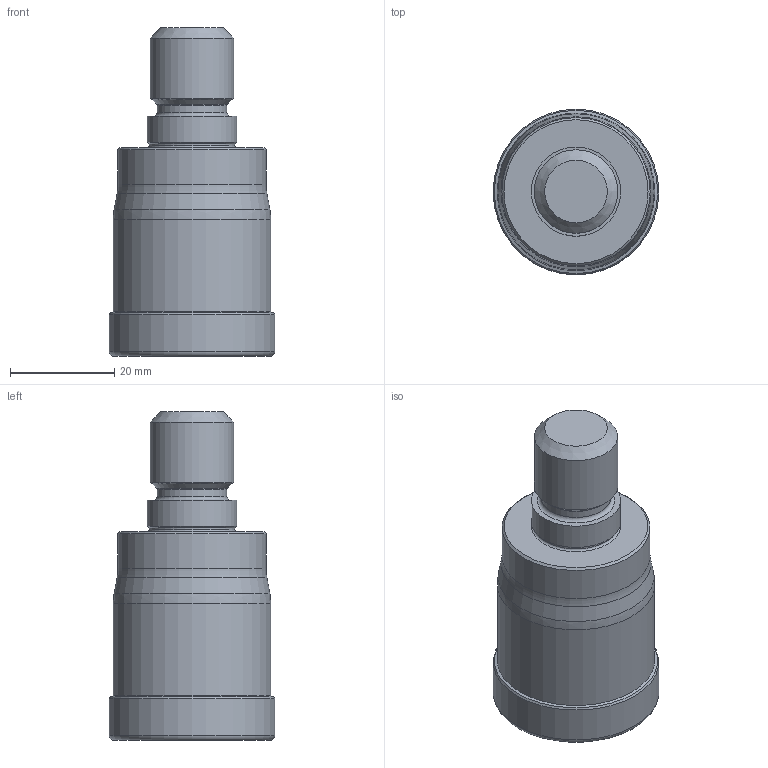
import cadquery as cq
import math

CAP_WALL_TOP = 8.0
SHOULDER_TOP = 33.0
BODY_TOP = 40.0
COLLAR_BOTTOM = 41.0
COLLAR_TOP = 46.0
THREAD_BOTTOM = 49.4
TOTAL_HEIGHT = 63.0

BARREL_RADIUS = 15.1
BARREL_TOP_RADIUS = 14.2
BARREL_TOP_CHAMFER = 0.4
SHOULDER_BLEND_RADIUS = 10.0
SHOULDER_ANGLE = math.radians(10.5)

CAP_RADIUS = 31.75 / 2
CAP_BOTTOM_FILLET = 1.0
CAP_CHAMFER_HEIGHT = 0.4
CAP_CHAMFER_WIDTH = CAP_CHAMFER_HEIGHT / math.tan(math.radians(60))
CAP_CONE_RADIUS = CAP_RADIUS - CAP_CHAMFER_WIDTH
CAP_CONE_BOTTOM = CAP_WALL_TOP + CAP_CHAMFER_HEIGHT
CAP_CONE_SLOPE = math.radians(15)
CAP_TOP = CAP_CONE_BOTTOM + (CAP_CONE_RADIUS - BARREL_RADIUS) * math.tan(CAP_CONE_SLOPE)

BREAK_DEPTH = 0.4
BREAK_HEIGHT = BREAK_DEPTH * math.tan(math.radians(30))
COLLAR_RADIUS = 8.55
NECK_RADIUS = COLLAR_RADIUS - BREAK_DEPTH
NECK_FILLET = 0.4
THREAD_RADIUS = 8.0
THREAD_CHAMFER = 2.0

RELIEF_RADIUS = 6.7
RELIEF_LOWER_FILLET = 0.75
RELIEF_UPPER_FILLET = 0.25
RELIEF_CONE_ANGLE = math.radians(45)


def revolve(profile):
    """Close a half profile on the Z axis and turn it into a solid."""
    return profile.close().revolve(360, (0, 0, 0), (0, 1, 0))


def quarter_arc_offset(radius):
    """Distance from the sides of a right corner to the middle of its fillet."""
    return radius * (1 - math.cos(math.pi / 4))


def arc_rise(radius, angle):
    """Radial and axial travel of an arc that leaves the axial direction by an angle."""
    return radius * (1 - math.cos(angle)), radius * math.sin(angle)


def make_cap():
    bottom_offset = quarter_arc_offset(CAP_BOTTOM_FILLET)
    profile = (
        cq.Workplane("XZ")
        .moveTo(0, 0)
        .lineTo(CAP_RADIUS - CAP_BOTTOM_FILLET, 0)
        .threePointArc(
            (CAP_RADIUS - bottom_offset, bottom_offset),
            (CAP_RADIUS, CAP_BOTTOM_FILLET),
        )
        .lineTo(CAP_RADIUS, CAP_WALL_TOP)
        .lineTo(CAP_CONE_RADIUS, CAP_CONE_BOTTOM)
        .lineTo(BARREL_RADIUS, CAP_TOP)
        .lineTo(0, CAP_TOP)
    )
    return revolve(profile)


def add_barrel(profile):
    """Barrel side up to its top face, with an S-shaped shoulder of two arcs and a cone."""
    arc_width, arc_height = arc_rise(SHOULDER_BLEND_RADIUS, SHOULDER_ANGLE)
    mid_width, mid_height = arc_rise(SHOULDER_BLEND_RADIUS, SHOULDER_ANGLE / 2)
    cone_width = BARREL_RADIUS - BARREL_TOP_RADIUS - 2 * arc_width
    cone_height = cone_width / math.tan(SHOULDER_ANGLE)
    shoulder_bottom = SHOULDER_TOP - cone_height - 2 * arc_height
    return (
        profile.lineTo(BARREL_RADIUS, CAP_TOP)
        .lineTo(BARREL_RADIUS, shoulder_bottom)
        .threePointArc(
            (BARREL_RADIUS - mid_width, shoulder_bottom + mid_height),
            (BARREL_RADIUS - arc_width, shoulder_bottom + arc_height),
        )
        .lineTo(BARREL_TOP_RADIUS + arc_width, SHOULDER_TOP - arc_height)
        .threePointArc(
            (BARREL_TOP_RADIUS + mid_width, SHOULDER_TOP - mid_height),
            (BARREL_TOP_RADIUS, SHOULDER_TOP),
        )
        .lineTo(BARREL_TOP_RADIUS, BODY_TOP - BARREL_TOP_CHAMFER)
        .lineTo(BARREL_TOP_RADIUS - BARREL_TOP_CHAMFER, BODY_TOP)
    )


def add_collar(profile):
    """Short filleted neck, then the wider collar above it."""
    fillet_offset = quarter_arc_offset(NECK_FILLET)
    return (
        profile.lineTo(NECK_RADIUS + NECK_FILLET, BODY_TOP)
        .threePointArc(
            (NECK_RADIUS + fillet_offset, BODY_TOP + fillet_offset),
            (NECK_RADIUS, BODY_TOP + NECK_FILLET),
        )
        .lineTo(NECK_RADIUS, COLLAR_BOTTOM - BREAK_HEIGHT)
        .lineTo(COLLAR_RADIUS, COLLAR_BOTTOM)
        .lineTo(COLLAR_RADIUS, COLLAR_TOP)
    )


def add_thread_relief(profile):
    """Groove between the collar and the thread."""
    lower_offset = quarter_arc_offset(RELIEF_LOWER_FILLET)
    arc_width, arc_height = arc_rise(RELIEF_UPPER_FILLET, RELIEF_CONE_ANGLE)
    mid_width, mid_height = arc_rise(RELIEF_UPPER_FILLET, RELIEF_CONE_ANGLE / 2)
    cone_top_radius = THREAD_RADIUS - BREAK_DEPTH
    cone_top = THREAD_BOTTOM - BREAK_HEIGHT
    cone_width = cone_top_radius - RELIEF_RADIUS - arc_width
    cone_bottom = cone_top - cone_width / math.tan(RELIEF_CONE_ANGLE)
    groove_top = cone_bottom - arc_height
    return (
        profile.lineTo(RELIEF_RADIUS + RELIEF_LOWER_FILLET, COLLAR_TOP)
        .threePointArc(
            (RELIEF_RADIUS + lower_offset, COLLAR_TOP + lower_offset),
            (RELIEF_RADIUS, COLLAR_TOP + RELIEF_LOWER_FILLET),
        )
        .lineTo(RELIEF_RADIUS, groove_top)
        .threePointArc(
            (RELIEF_RADIUS + mid_width, groove_top + mid_height),
            (RELIEF_RADIUS + arc_width, cone_bottom),
        )
        .lineTo(cone_top_radius, cone_top)
        .lineTo(THREAD_RADIUS, THREAD_BOTTOM)
    )


def add_thread(profile):
    """Plain cylinder for the thread, chamfered at its tip."""
    return (
        profile.lineTo(THREAD_RADIUS, TOTAL_HEIGHT - THREAD_CHAMFER)
        .lineTo(THREAD_RADIUS - THREAD_CHAMFER, TOTAL_HEIGHT)
        .lineTo(0, TOTAL_HEIGHT)
    )


def make_body():
    """Barrel and stud, turned in one piece and seated on the cap."""
    profile = cq.Workplane("XZ").moveTo(0, CAP_TOP)
    for add_section in (add_barrel, add_collar, add_thread_relief, add_thread):
        profile = add_section(profile)
    return revolve(profile)


cap = make_cap()
body = make_body()

result = cq.Compound.makeCompound([cap.val(), body.val()])